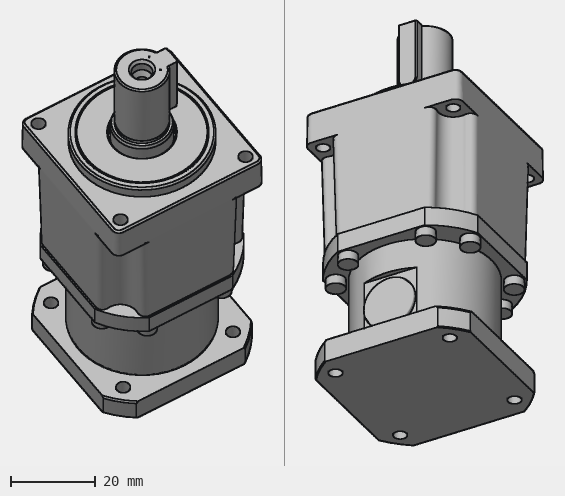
import cadquery as cq
import math

TOTAL_HEIGHT = 97.5
SIDE = 42.0
DRAFT = 1.0

BASE_TOP = 6.0
BASE_CORNER_RADIUS = 26.0
BASE_TOP_BEVEL = (0.3, 0.6)
BASE_BOTTOM_BEVEL = (0.2, 0.3)
BASE_HOLE_OFFSET = 15.5
HOLE_DIAMETER = 3.4

BARREL_RADIUS = 18.0
NECK_RADIUS = 17.7
NECK_HEIGHT = 0.3
BARREL_FLAT_Y = 16.6
BARREL_FLAT_TOP = 21.9
PLUG_RADIUS = 6.8
PLUG_HEIGHT = 1.0
PLUG_FILLET = 0.3
PLUG_Z = 13.8

SCREW_FLANGE_BOTTOM = 29.8
SCREW_FLANGE_TOP = 34.8
SCREW_FLANGE_CORNER_RADIUS = 24.1
SCREW_HEAD_DIAMETER = 4.9
SCREW_HEAD_HEIGHT = 2.4
SCREW_CIRCLE_RADIUS = 21.1
SCREW_ANGLES = (30, 60)

CORNER_HOLE_OFFSET = 17.6
SCALLOP_RADIUS = 4.0
SCALLOP_FILLET = 1.95

OUTPUT_FLANGE_BOTTOM = 62.8
OUTPUT_FLANGE_BAND = 0.6
OUTPUT_FLANGE_TOP = 71.5
OUTPUT_FLANGE_FILLET = 2.0
EDGE_CHAMFER = 0.5

PILOT_RADIUS = 17.5
PILOT_TOP = 74.5
CAP_GROOVE_OUTER_RADIUS = 15.8
CAP_GROOVE_INNER_RADIUS = 15.4
CAP_GROOVE_DEPTH = 0.4
SEAL_OPENING_RADIUS = 8.0
SEAL_OPENING_CHAMFER = 0.3
SEAL_OPENING_DEPTH = 1.95

SHAFT_RADIUS = 6.5
SHAFT_END_BEVEL = (0.5, 0.3)
SHAFT_BOTTOM = OUTPUT_FLANGE_BOTTOM
COLLAR_RADIUS = 7.5
COLLAR_TOP = 78.1
COLLAR_BEVEL = (0.3, 0.9)
RELIEF_DEPTH = 0.2
RELIEF_HEIGHT = 0.9

KEY_WIDTH = 5.0
KEY_FLOOR_Y = 3.5
KEY_OUTER_Y = 8.5
KEY_BOTTOM = 79.5
KEY_CHAMFER = 0.3

COUNTERSINK_RADIUS = 3.1
COUNTERSINK_DEPTH = 0.9
BORE_RADIUS = 2.5
BORE_DEPTH = 3.1
DRILL_RADIUS = 1.7
DRILL_DEPTH = 11.7
BORE_CONE_HALF_ANGLE = 30
DRILL_TIP_HALF_ANGLE = 59


def revolved(profile):
    """Solid of revolution about Z from (radius, z) points."""
    return cq.Workplane("XZ").polyline(profile).close().revolve(360, (0, 0), (0, 1))


def square_block(bottom, top):
    block = cq.Workplane("XY").workplane(offset=bottom)
    return block.rect(SIDE, SIDE).extrude(top - bottom)


def cylinder(radius, bottom, top):
    return cq.Workplane("XY").workplane(offset=bottom).circle(radius).extrude(top - bottom)


def four_corners(offset):
    return [(x, y) for x in (-offset, offset) for y in (-offset, offset)]


def corner_holes(offset, bottom, top):
    holes = cq.Workplane("XY").workplane(offset=bottom).pushPoints(four_corners(offset))
    return holes.circle(HOLE_DIAMETER / 2).extrude(top - bottom)


def make_base():
    top_width, top_height = BASE_TOP_BEVEL
    bottom_width, bottom_height = BASE_BOTTOM_BEVEL
    corner_turning = revolved([
        (0, 0),
        (BASE_CORNER_RADIUS - bottom_width, 0),
        (BASE_CORNER_RADIUS, bottom_height),
        (BASE_CORNER_RADIUS, BASE_TOP - top_height),
        (BASE_CORNER_RADIUS - top_width, BASE_TOP),
        (0, BASE_TOP),
    ])
    plate = square_block(0, BASE_TOP).intersect(corner_turning)
    return plate.cut(corner_holes(BASE_HOLE_OFFSET, 0, BASE_TOP))


def make_barrel():
    neck_top = BASE_TOP + NECK_HEIGHT
    barrel = cylinder(BARREL_RADIUS, neck_top, SCREW_FLANGE_BOTTOM)
    flat_cut = (
        cq.Workplane("XY")
        .box(SIDE, SIDE, BARREL_FLAT_TOP - neck_top, centered=(True, False, False))
        .translate((0, BARREL_FLAT_Y, neck_top))
    )
    neck = cylinder(NECK_RADIUS, BASE_TOP, neck_top)
    neck = neck.cut(flat_cut.translate((0, 0, -NECK_HEIGHT)))
    return barrel.cut(flat_cut).union(neck).union(make_plug())


def make_plug():
    """Round plug standing out along +Y from the flat of the barrel."""
    plug = cq.Workplane("XZ", origin=(0, BARREL_FLAT_Y, PLUG_Z)).circle(PLUG_RADIUS).extrude(-PLUG_HEIGHT)
    return plug.faces(">Y").edges().fillet(PLUG_FILLET)


def make_screw_flange():
    flange = square_block(SCREW_FLANGE_BOTTOM, SCREW_FLANGE_TOP)
    flange = flange.intersect(
        cylinder(SCREW_FLANGE_CORNER_RADIUS, SCREW_FLANGE_BOTTOM, SCREW_FLANGE_TOP)
    )
    for quadrant in range(4):
        for angle in SCREW_ANGLES:
            direction = math.radians(90 * quadrant + angle)
            head = cylinder(
                SCREW_HEAD_DIAMETER / 2, SCREW_FLANGE_BOTTOM - SCREW_HEAD_HEIGHT, SCREW_FLANGE_BOTTOM
            )
            flange = flange.union(head.translate((
                SCREW_CIRCLE_RADIUS * math.cos(direction),
                SCREW_CIRCLE_RADIUS * math.sin(direction),
                0,
            )))
    return flange


def body_outline(z, half_width, scallop_radius):
    """Square wire at height z whose corners are concave scallops blended into the sides by fillets."""
    fillet_y = half_width - SCALLOP_FILLET
    centre_distance = scallop_radius + SCALLOP_FILLET
    rise = fillet_y - CORNER_HOLE_OFFSET
    fillet_x = CORNER_HOLE_OFFSET - math.sqrt(centre_distance**2 - rise**2)
    scallop_share = scallop_radius / centre_distance
    blend_x = CORNER_HOLE_OFFSET + (fillet_x - CORNER_HOLE_OFFSET) * scallop_share
    blend_y = CORNER_HOLE_OFFSET + rise * scallop_share
    chord_angle = math.atan2(blend_y - fillet_y, blend_x - fillet_x)
    middle_angle = (math.pi / 2 + chord_angle) / 2
    fillet_middle = (
        fillet_x + SCALLOP_FILLET * math.cos(middle_angle),
        fillet_y + SCALLOP_FILLET * math.sin(middle_angle),
    )
    scallop_middle = CORNER_HOLE_OFFSET - scallop_radius / math.sqrt(2)

    corner = [
        (fillet_x, half_width), fillet_middle, (blend_x, blend_y),
        (scallop_middle, scallop_middle),
        (blend_y, blend_x), fillet_middle[::-1], (half_width, fillet_x),
    ]
    edges = []
    for _quadrant in range(4):
        points = [cq.Vector(x, y, z) for x, y in corner]
        for first in (0, 2, 4):
            edges.append(cq.Edge.makeThreePointArc(*points[first:first + 3]))
        corner = [(y, -x) for x, y in corner]
        edges.append(cq.Edge.makeLine(points[-1], cq.Vector(*corner[0], z)))
    return cq.Wire.assembleEdges(edges)


def make_gearbox_body():
    """Drafted block that narrows downwards, with a scallop below each output flange hole."""
    inset = (OUTPUT_FLANGE_BOTTOM - SCREW_FLANGE_TOP) * math.tan(math.radians(DRAFT))
    bottom = body_outline(SCREW_FLANGE_TOP, SIDE / 2 - inset, SCALLOP_RADIUS + inset)
    top = body_outline(OUTPUT_FLANGE_BOTTOM, SIDE / 2, SCALLOP_RADIUS)
    return cq.Workplane(cq.Solid.makeLoft([bottom, top], True))


def make_output_flange():
    band = square_block(OUTPUT_FLANGE_BOTTOM, OUTPUT_FLANGE_BOTTOM + OUTPUT_FLANGE_BAND)
    band = band.edges("|Z").fillet(OUTPUT_FLANGE_FILLET)
    drafted_height = OUTPUT_FLANGE_TOP - OUTPUT_FLANGE_BOTTOM - OUTPUT_FLANGE_BAND
    flange = band.faces(">Z").wires().toPending().extrude(drafted_height, taper=DRAFT)
    flange = flange.faces(">Z").edges().chamfer(EDGE_CHAMFER)
    return flange.cut(corner_holes(CORNER_HOLE_OFFSET, OUTPUT_FLANGE_BOTTOM, OUTPUT_FLANGE_TOP))


def make_pilot():
    groove_floor = PILOT_TOP - CAP_GROOVE_DEPTH
    return revolved([
        (0, OUTPUT_FLANGE_TOP),
        (PILOT_RADIUS, OUTPUT_FLANGE_TOP),
        (PILOT_RADIUS, PILOT_TOP - EDGE_CHAMFER),
        (PILOT_RADIUS - EDGE_CHAMFER, PILOT_TOP),
        (CAP_GROOVE_OUTER_RADIUS, PILOT_TOP),
        (CAP_GROOVE_OUTER_RADIUS, groove_floor),
        (CAP_GROOVE_INNER_RADIUS, PILOT_TOP),
        (0, PILOT_TOP),
    ])


def make_shaft_seat():
    """Bore that holds the shaft, widened at the mouth by the seal opening."""
    gap_floor = PILOT_TOP - SEAL_OPENING_DEPTH
    return revolved([
        (0, SHAFT_BOTTOM),
        (COLLAR_RADIUS, SHAFT_BOTTOM),
        (COLLAR_RADIUS, gap_floor),
        (SEAL_OPENING_RADIUS, gap_floor),
        (SEAL_OPENING_RADIUS, PILOT_TOP - SEAL_OPENING_CHAMFER),
        (SEAL_OPENING_RADIUS + SEAL_OPENING_CHAMFER, PILOT_TOP),
        (0, PILOT_TOP),
    ])


def make_housing():
    housing = make_base().union(make_barrel()).union(make_screw_flange())
    housing = housing.union(make_gearbox_body()).union(make_output_flange())
    return housing.union(make_pilot()).cut(make_shaft_seat())


def make_shaft_turning():
    collar_bevel_width, collar_bevel_height = COLLAR_BEVEL
    end_bevel_width, end_bevel_height = SHAFT_END_BEVEL
    relief_top = COLLAR_TOP + RELIEF_HEIGHT
    return revolved([
        (0, SHAFT_BOTTOM),
        (COLLAR_RADIUS, SHAFT_BOTTOM),
        (COLLAR_RADIUS, COLLAR_TOP - collar_bevel_height),
        (COLLAR_RADIUS - collar_bevel_width, COLLAR_TOP),
        (SHAFT_RADIUS, COLLAR_TOP),
        (SHAFT_RADIUS - RELIEF_DEPTH, relief_top - RELIEF_DEPTH),
        (SHAFT_RADIUS, relief_top),
        (SHAFT_RADIUS, TOTAL_HEIGHT - end_bevel_height),
        (SHAFT_RADIUS - end_bevel_width, TOTAL_HEIGHT),
        (0, TOTAL_HEIGHT),
    ])


def make_key_blank():
    """Key shape with a round lower end, also the shape of its slot."""
    half_width = KEY_WIDTH / 2
    round_centre_z = KEY_BOTTOM + half_width
    return (
        cq.Workplane("XZ", origin=(0, KEY_FLOOR_Y, 0))
        .moveTo(-half_width, TOTAL_HEIGHT)
        .lineTo(-half_width, round_centre_z)
        .threePointArc((0, KEY_BOTTOM), (half_width, round_centre_z))
        .lineTo(half_width, TOTAL_HEIGHT)
        .close()
        .extrude(KEY_FLOOR_Y - KEY_OUTER_Y)
    )


def make_centre_bore():
    cone_height = (BORE_RADIUS - DRILL_RADIUS) / math.tan(math.radians(BORE_CONE_HALF_ANGLE))
    tip_height = DRILL_RADIUS / math.tan(math.radians(DRILL_TIP_HALF_ANGLE))
    return revolved([
        (0, TOTAL_HEIGHT),
        (COUNTERSINK_RADIUS, TOTAL_HEIGHT),
        (BORE_RADIUS, TOTAL_HEIGHT - COUNTERSINK_DEPTH),
        (BORE_RADIUS, TOTAL_HEIGHT - BORE_DEPTH),
        (DRILL_RADIUS, TOTAL_HEIGHT - BORE_DEPTH - cone_height),
        (DRILL_RADIUS, TOTAL_HEIGHT - DRILL_DEPTH),
        (0, TOTAL_HEIGHT - DRILL_DEPTH - tip_height),
    ])


def make_shaft():
    """Shaft with its key; the chamfered key leaves the slot corners open."""
    slot = make_key_blank()
    key = make_key_blank().edges("(<Y or >Y) and (not >Z)").chamfer(KEY_CHAMFER)
    return make_shaft_turning().cut(slot).union(key).cut(make_centre_bore())


housing = make_housing()
shaft = make_shaft()
result = cq.Compound.makeCompound([*housing.solids().vals(), *shaft.solids().vals()])